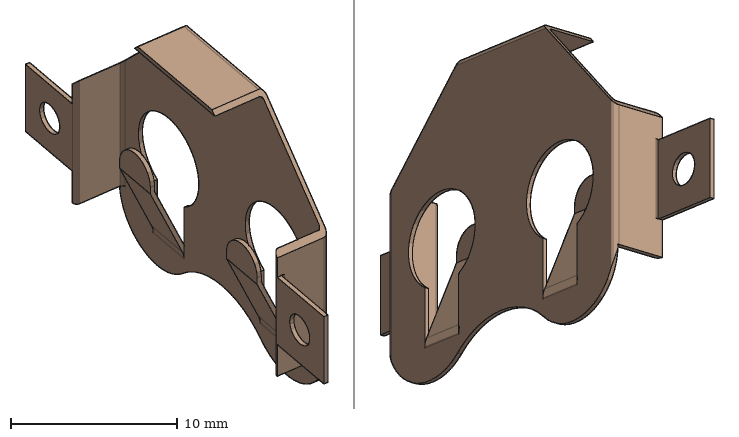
import cadquery as cq
import math

total_width = 30.7
depth = 3.8
sheet = 0.3
leg_sheet = 0.37
inner_bend = 0.2
plate_bend = sheet + 0.05
foot_bend = 0.3
relief_depth = 0.05
relief_height = 0.2

half_width = 10.55
plate_top = 11.05
top_half_width = 3.85
shoulder_z = 4.02
plate_bottom = -8.85
lobe_radius = 3.9
leg_bottom = plate_bottom + lobe_radius
lobe_x = half_width - lobe_radius
notch_top = -6.23

tab_height = 5.1
tab_hole_diameter = 2.05
tab_hole_x = 12.85

finger_x = 5.5
finger_width = 3.15
finger_hole_diameter = 6.2
finger_hole_z = -0.05
slot_bottom = -6.63
finger_root_z = -6.32
finger_bend_z = -0.6
finger_top = 1.47
finger_reach = 2.8
finger_bend_radius = 1.38
finger_overlap = 0.3


def front_box(x_min, x_max, y_back, y_front, z_min, z_max):
    """Box between two X, Y and Z places; Y distances run forward from the rear face."""
    return cq.Workplane("XY").box(
        x_max - x_min, y_front - y_back, z_max - z_min, centered=False
    ).translate((x_min, -y_front, z_min))


def outline():
    """Sloped shoulders above two round lobes that flank a tangent concave notch."""
    drop = leg_bottom - notch_top
    notch_radius = (lobe_x**2 + drop**2 - lobe_radius**2) / (2 * (lobe_radius - drop))
    notch_center_z = notch_top - notch_radius
    share = notch_radius / (notch_radius + lobe_radius)
    join_x = lobe_x * share
    join_z = notch_center_z + (leg_bottom - notch_center_z) * share
    return (
        cq.Workplane("XZ")
        .moveTo(-top_half_width, plate_top)
        .lineTo(top_half_width, plate_top)
        .lineTo(half_width, shoulder_z)
        .lineTo(half_width, leg_bottom)
        .threePointArc((lobe_x, plate_bottom), (join_x, join_z))
        .threePointArc((0, notch_top), (-join_x, join_z))
        .threePointArc((-lobe_x, plate_bottom), (-half_width, leg_bottom))
        .lineTo(-half_width, shoulder_z)
        .close()
    )


def bent_shell():
    """Plate with its top flange and both legs folded forward, trimmed to the outline."""
    block = outline().extrude(depth)
    side_fold = (
        front_box(-half_width, half_width, 0, depth, plate_bottom, plate_top)
        .edges("|Z and >Y").fillet(plate_bend)
    )
    top_fold = (
        front_box(-half_width, half_width, 0, depth, plate_bottom, plate_top)
        .edges("|X and >Y and >Z").fillet(plate_bend)
    )
    leg_x = half_width - leg_sheet
    flange_z = plate_top - sheet
    inside = (
        front_box(-leg_x, leg_x, sheet, depth, plate_bottom, flange_z)
        .edges(">Y and (|Z or >Z)").fillet(inner_bend)
    )
    below_legs = front_box(-half_width, half_width, sheet, depth, plate_bottom, leg_bottom)
    return block.intersect(side_fold).intersect(top_fold).cut(inside).cut(below_legs)


def leg_end_round(side):
    """Waste that rounds the inner front edge of a leg along its whole height."""
    inner_x = half_width - leg_sheet
    center_x = inner_x + foot_bend
    center_y = foot_bend - depth
    reach = foot_bend * math.sqrt(0.5)
    return (
        cq.Workplane("XY", origin=(0, 0, leg_bottom))
        .moveTo(side * inner_x, -depth)
        .lineTo(side * center_x, -depth)
        .threePointArc(
            (side * (center_x - reach), center_y - reach), (side * inner_x, center_y)
        )
        .close()
        .extrude(plate_top - leg_bottom)
    )


def tab_relief(side):
    """Shallow wedge cut into the outer face of a leg, just behind its tab."""
    tab_back = sheet - depth
    return (
        cq.Workplane("XY", origin=(0, 0, -tab_height / 2))
        .moveTo(side * half_width, tab_back)
        .lineTo(side * (half_width - relief_depth), tab_back)
        .lineTo(side * half_width, tab_back + relief_height)
        .close()
        .extrude(tab_height)
    )


def solder_tab(side):
    """Drilled tab that turns outward from the front end of a leg."""
    inner_x = half_width - relief_depth
    tab = (
        cq.Workplane("XZ", origin=(0, sheet - depth, 0))
        .center(side * (inner_x + total_width / 2) / 2, 0)
        .rect(total_width / 2 - inner_x, tab_height)
        .extrude(sheet)
    )
    hole = (
        cq.Workplane("XZ")
        .center(side * tab_hole_x, 0)
        .circle(tab_hole_diameter / 2)
        .extrude(depth)
    )
    return tab.cut(hole)


def finger_opening(x):
    """Round hole with a slot running down to the root of the finger."""
    hole = (
        cq.Workplane("XZ").center(x, finger_hole_z)
        .circle(finger_hole_diameter / 2).extrude(sheet)
    )
    half = finger_width / 2
    slot = front_box(x - half, x + half, 0, sheet, slot_bottom, finger_hole_z)
    return hole.union(slot)


def finger(x):
    """Strip that slopes forward from the plate and ends in an upright round tip."""
    half = finger_width / 2
    lean = math.atan2(finger_reach - sheet, finger_bend_z - finger_root_z)
    back_rise = sheet * math.tan(lean / 2)
    root = slot_bottom - finger_overlap
    strip = (
        cq.Workplane("YZ", origin=(x - half, 0, 0))
        .moveTo(0, root)
        .lineTo(-sheet, root)
        .lineTo(-sheet, finger_root_z)
        .lineTo(-finger_reach, finger_bend_z)
        .lineTo(-finger_reach, finger_top)
        .lineTo(sheet - finger_reach, finger_top)
        .lineTo(sheet - finger_reach, finger_bend_z + back_rise)
        .lineTo(0, finger_root_z + back_rise)
        .close()
        .extrude(finger_width)
        .edges(cq.NearestToPointSelector((x, -sheet, finger_root_z)))
        .fillet(finger_bend_radius)
        .edges(cq.NearestToPointSelector((x, 0, finger_root_z + back_rise)))
        .fillet(finger_bend_radius + sheet)
    )
    shape = (
        cq.Workplane("XZ")
        .moveTo(x - half, root)
        .lineTo(x + half, root)
        .lineTo(x + half, finger_top - half)
        .threePointArc((x, finger_top), (x - half, finger_top - half))
        .close()
        .extrude(depth)
    )
    return strip.intersect(shape)


result = bent_shell()
for side in (-1, 1):
    result = result.cut(leg_end_round(side)).cut(tab_relief(side))
    result = result.union(solder_tab(side))
    result = result.cut(finger_opening(side * finger_x))
    result = result.union(finger(side * finger_x))